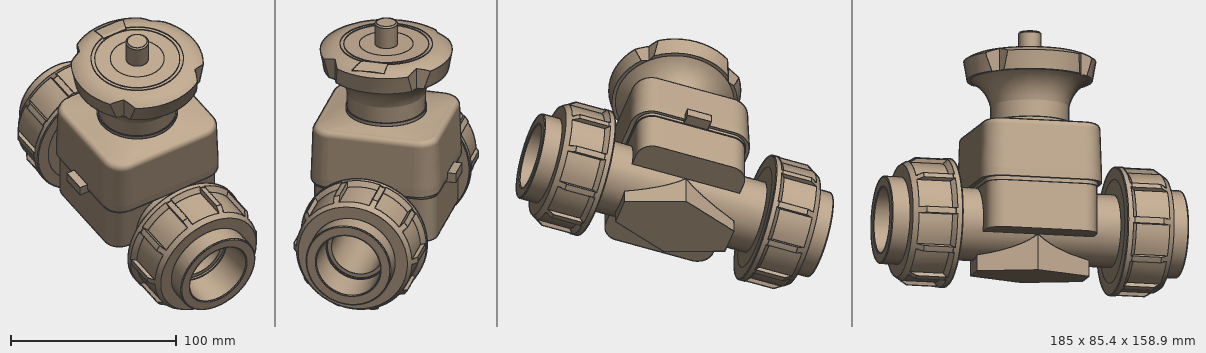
import cadquery as cq
import math


overall_length = 185.0
bore_radius = 16.3
pipe_radius = 22.0

nut_inner_x = 51.2
nut_outer_x = 81.4
nut_radius = 39.0
nut_face_radius = 34.0
nut_chamfer_length = 7.4
nut_rim_chamfer = 0.5
nut_end_wall = 5.5
nut_rim_width = 4.5
rib_count = 10
rib_radius = 38.7
rib_width = 3.7
pocket_floor_radius = 36.0
pocket_inner_x = 54.8
pocket_wall_slope_length = 2.5
union_radius = 31.5
union_joint_x = 70.0
socket_radius = 26.5
socket_end_chamfer = 0.5
socket_mouth_radius = 20.0
socket_bottom_radius = 19.2
socket_ledge_radius = 18.7
socket_depth = 21.0

body_half_x = 34.5
body_half_y = 38.1
body_bottom_z = -8.1
lip_bottom_z = 20.7
lip_overhang = 0.5
split_z = 23.1
foot_bottom_z = -30.2
foot_half_x = body_half_x + lip_overhang
foot_mid_half_y = 20.5
foot_end_half_y = 8.3

bonnet_half_x = 37.5
bonnet_half_y = 40.1
bonnet_corner_radius = 13.3
body_corner_radius = bonnet_corner_radius - (bonnet_half_x - body_half_x)
bonnet_band_top_z = 28.0
bonnet_shoulder_z = 59.2
bonnet_draft = 2.0
bonnet_top_fillet = 3.7
collar_bottom_z = 61.6
collar_top_z = 63.6
collar_radius = 24.5
crown_corner_half_angle = 14.0
tab_half_x = 7.5
tab_outer_y = 45.3
tab_top_z = 26.8

neck_radius = 23.7
neck_top_z = 73.8
flare_mid_radius = 27.8
flare_mid_z = 83.2
flare_top_radius = 35.9
rim_bottom_z = 90.3
rim_bottom_radius = 38.0
rim_top_z = 101.5
rim_top_radius = 40.0
wheel_top_z = 105.5
wheel_flat_radius = 28.0
groove_inner_radius = 25.7
groove_depth = 0.4
notch_count = 4
notch_first_angle = 45.0
notch_apex_radius = 35.9
notch_depth = 7.4
notch_half_width = 17.5
pad_outer_x = 36.0
pad_outer_z = 103.5
pad_half_width = 8.0
pad_flare_half_width = 12.2

stem_radius = 6.8
stem_top_z = 119.9
stem_chamfer = 1.0
stem_disc_radius = 16.3
stem_disc_thickness = 1.8


def revolve_about_x(profile):
    """Solid of revolution about the pipe axis from (x, radius) points."""
    return cq.Workplane("XY").polyline(profile).close().revolve(360, (0, 0, 0), (1, 0, 0))


def cylinder_along_x(radius, x_start, x_end):
    return cq.Workplane("YZ").workplane(offset=x_start).circle(radius).extrude(x_end - x_start)


def rounded_block(half_x, half_y, corner_radius, z_bottom, z_top):
    block = cq.Workplane("XY").workplane(offset=z_bottom).rect(2 * half_x, 2 * half_y)
    return block.extrude(z_top - z_bottom).edges("|Z").fillet(corner_radius)


def make_valve_body():
    """Pipe with threaded ends, square housing, seating lip and a pointed foot."""
    body = cylinder_along_x(pipe_radius, -union_joint_x, union_joint_x)
    for x_start in (-union_joint_x, nut_inner_x):
        body = body.union(cylinder_along_x(union_radius, x_start, x_start + union_joint_x - nut_inner_x))
    body = body.union(
        rounded_block(body_half_x, body_half_y, body_corner_radius, body_bottom_z, lip_bottom_z))
    body = body.union(rounded_block(
        body_half_x + lip_overhang, body_half_y + lip_overhang,
        body_corner_radius + lip_overhang, lip_bottom_z, split_z))
    foot = (
        cq.Workplane("XY").workplane(offset=foot_bottom_z)
        .polyline([
            (-foot_half_x, -foot_end_half_y), (0, -foot_mid_half_y), (foot_half_x, -foot_end_half_y),
            (foot_half_x, foot_end_half_y), (0, foot_mid_half_y), (-foot_half_x, foot_end_half_y),
        ])
        .close().extrude(body_bottom_z - foot_bottom_z)
    )
    body = body.union(foot)
    return body.cut(cylinder_along_x(bore_radius, -union_joint_x, union_joint_x))


def bonnet_crown(half_x, half_y, corner_radius):
    """Gently sloping roof from the rounded shoulder up to the round collar."""
    flat_x = half_x - corner_radius
    flat_y = half_y - corner_radius
    corner_mid = corner_radius * math.sqrt(0.5)
    shoulder = cq.Workplane("XY").workplane(offset=bonnet_shoulder_z).moveTo(half_x, -flat_y)
    collar = cq.Workplane("XY").workplane(offset=collar_bottom_z)
    collar = collar.moveTo(*collar_point(crown_corner_half_angle - 45))
    corner_signs = ((1, 1), (-1, 1), (-1, -1), (1, -1))
    for index, (sign_x, sign_y) in enumerate(corner_signs):
        on_x_side = (sign_x * half_x, sign_y * flat_y)
        on_y_side = (sign_x * flat_x, sign_y * half_y)
        corner = (sign_x * (flat_x + corner_mid), sign_y * (flat_y + corner_mid))
        first, last = (on_x_side, on_y_side) if sign_x == sign_y else (on_y_side, on_x_side)
        shoulder = shoulder.lineTo(*first).threePointArc(corner, last)
        side_angle = 90 * index
        corner_angle = side_angle + 45
        corner_start = collar_point(corner_angle - crown_corner_half_angle)
        corner_end = collar_point(corner_angle + crown_corner_half_angle)
        collar = collar.threePointArc(collar_point(side_angle), corner_start)
        collar = collar.threePointArc(collar_point(corner_angle), corner_end)
    return cq.Workplane(cq.Solid.makeLoft([shoulder.close().val(), collar.close().val()], True))


def collar_point(angle):
    return (
        collar_radius * math.cos(math.radians(angle)),
        collar_radius * math.sin(math.radians(angle)),
    )


def make_bonnet():
    """Drafted square cover with a sloping crown, a collar and a front tab."""
    band = rounded_block(bonnet_half_x, bonnet_half_y, bonnet_corner_radius, split_z, bonnet_band_top_z)
    cover = (
        band.faces(">Z").wires().toPending()
        .workplane().extrude(bonnet_shoulder_z - bonnet_band_top_z, taper=bonnet_draft, combine=False)
        .faces(">Z").edges().fillet(bonnet_top_fillet)
    )
    draft_inset = (bonnet_shoulder_z - bonnet_band_top_z) * math.tan(math.radians(bonnet_draft))
    crown_inset = draft_inset + bonnet_top_fillet
    crown = bonnet_crown(
        bonnet_half_x - crown_inset, bonnet_half_y - crown_inset, bonnet_corner_radius - crown_inset)
    collar = (
        cq.Workplane("XY").workplane(offset=collar_bottom_z)
        .circle(collar_radius).extrude(collar_top_z - collar_bottom_z)
    )
    tab_inner_y = body_half_y + lip_overhang
    tab = cq.Workplane("XY").box(
        2 * tab_half_x, tab_outer_y - tab_inner_y, tab_top_z - lip_bottom_z, centered=(True, False, False)
    ).translate((0, -tab_outer_y, lip_bottom_z))
    return band.union(cover).union(crown).union(collar).union(tab)


def make_handwheel():
    """Flared wheel with a domed rim, finger notches and an indicator pad."""
    dome_run = rim_top_radius - wheel_flat_radius
    dome_drop = wheel_top_z - rim_top_z
    dome_radius = (dome_run ** 2 + dome_drop ** 2) / (2 * dome_drop)
    half_angle = math.asin(dome_run / dome_radius) / 2
    dome_mid = (
        wheel_flat_radius + dome_radius * math.sin(half_angle),
        wheel_top_z - dome_radius * (1 - math.cos(half_angle)),
    )
    wheel = (
        cq.Workplane("XZ").moveTo(0, collar_top_z)
        .lineTo(neck_radius, collar_top_z)
        .lineTo(neck_radius, neck_top_z)
        .threePointArc((flare_mid_radius, flare_mid_z), (flare_top_radius, rim_bottom_z))
        .lineTo(rim_bottom_radius, rim_bottom_z)
        .lineTo(rim_top_radius, rim_top_z)
        .threePointArc(dome_mid, (wheel_flat_radius, wheel_top_z))
        .lineTo(0, wheel_top_z)
        .close().revolve(360, (0, 0, 0), (0, 1, 0))
    )
    groove = (
        cq.Workplane("XY").workplane(offset=wheel_top_z - groove_depth)
        .circle(wheel_flat_radius).circle(groove_inner_radius).extrude(groove_depth)
    )
    wheel = wheel.cut(groove)
    notch = (
        cq.Workplane("XY").workplane(offset=rim_bottom_z)
        .polyline([
            (notch_apex_radius, 0),
            (notch_apex_radius + notch_depth, notch_half_width),
            (notch_apex_radius + notch_depth, -notch_half_width),
        ])
        .close().extrude(wheel_top_z - rim_bottom_z)
    )
    for index in range(notch_count):
        angle = notch_first_angle + index * 360 / notch_count
        wheel = wheel.cut(notch.rotate((0, 0, 0), (0, 0, 1), angle))

    pad_column = (
        cq.Workplane("XY").workplane(offset=rim_top_z)
        .polyline([
            (-groove_inner_radius, -pad_half_width), (-pad_outer_x, -pad_half_width),
            (-pad_outer_x, pad_flare_half_width), (-groove_inner_radius, pad_half_width),
        ])
        .close().extrude(wheel_top_z - rim_top_z)
    )
    below_pad_slope = (
        cq.Workplane("XZ")
        .polyline([
            (-groove_inner_radius, rim_top_z), (-groove_inner_radius, wheel_top_z),
            (-wheel_flat_radius, wheel_top_z),
            (-pad_outer_x, pad_outer_z), (-pad_outer_x, rim_top_z),
        ])
        .close().extrude(rim_top_radius, both=True)
    )
    wheel = wheel.cut(pad_column).union(pad_column.intersect(below_pad_slope))
    return wheel.cut(make_stem())


def make_stem():
    """Stem with a thin disc lying flush in the wheel top."""
    stem = (
        cq.Workplane("XY").workplane(offset=collar_top_z)
        .circle(stem_radius).extrude(stem_top_z - collar_top_z)
        .faces(">Z").chamfer(stem_chamfer)
    )
    disc = (
        cq.Workplane("XY").workplane(offset=wheel_top_z - stem_disc_thickness)
        .circle(stem_disc_radius).extrude(stem_disc_thickness)
    )
    return stem.union(disc)


def make_union_nut():
    """Nut on the -X end: a chamfered ring with ribs standing between pockets."""
    nut = revolve_about_x([
        (-nut_outer_x, 0),
        (-nut_outer_x, nut_face_radius),
        (-nut_outer_x + nut_chamfer_length, rib_radius),
        (-nut_inner_x - nut_rim_width, rib_radius),
        (-nut_inner_x - nut_rim_width, nut_radius),
        (-nut_inner_x - nut_rim_chamfer, nut_radius),
        (-nut_inner_x, nut_radius - nut_rim_chamfer),
        (-nut_inner_x, 0),
    ])
    pockets = revolve_about_x([
        (-nut_outer_x, pocket_floor_radius),
        (-pocket_inner_x - pocket_wall_slope_length, pocket_floor_radius),
        (-pocket_inner_x, nut_radius),
        (-nut_outer_x, nut_radius),
    ])
    rib = (
        cq.Workplane("XY")
        .box(nut_outer_x - nut_inner_x, nut_radius, rib_width, centered=(False, False, True))
        .translate((-nut_outer_x, 0, 0))
    )
    for index in range(rib_count):
        pockets = pockets.cut(rib.rotate((0, 0, 0), (1, 0, 0), index * 360 / rib_count))
    nut = nut.cut(pockets)
    nut = nut.cut(cylinder_along_x(socket_radius, -nut_outer_x, -nut_inner_x))
    return nut.cut(cylinder_along_x(union_radius, -nut_outer_x + nut_end_wall, -nut_inner_x))


def make_end_socket():
    """Pipe socket on the -X end, with a flange held in the nut and a narrow pipe-stop ledge."""
    end_x = -overall_length / 2
    flange_x = -nut_outer_x + nut_end_wall
    ledge_x = end_x + socket_depth
    return revolve_about_x([
        (end_x, socket_mouth_radius + socket_end_chamfer),
        (end_x, socket_radius - socket_end_chamfer),
        (end_x + socket_end_chamfer, socket_radius),
        (flange_x, socket_radius),
        (flange_x, union_radius),
        (-union_joint_x, union_radius),
        (-union_joint_x, socket_ledge_radius),
        (ledge_x, socket_ledge_radius),
        (ledge_x, socket_bottom_radius),
        (end_x + socket_end_chamfer, socket_mouth_radius),
    ])


valve_body = make_valve_body()
bonnet = make_bonnet()
handwheel = make_handwheel()
stem = make_stem()

end_fittings = []
for fitting in (make_union_nut(), make_end_socket()):
    end_fittings.append(fitting.val())
    end_fittings.append(fitting.mirror("YZ").val())

result = cq.Compound.makeCompound([
    valve_body.val(), bonnet.val(), handwheel.val(), stem.val(), *end_fittings,
])